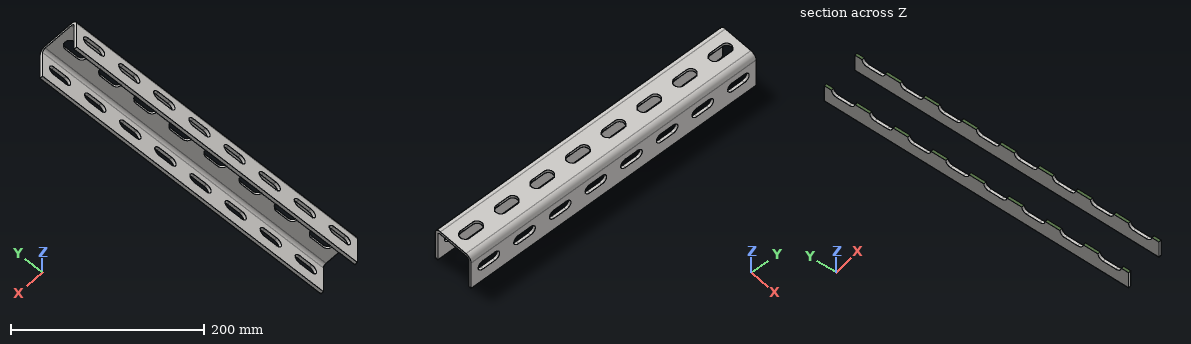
import cadquery as cq

length = 400.0
width = 55.0
height = 50.0
thickness = 4.0
outer_bend_radius = 8.0
inner_bend_radius = outer_bend_radius - thickness

slot_count = 8
slot_pitch = length / slot_count
slot_length = 30.0
slot_width = 13.0
flange_slot_height = height / 2


def bent_block(block_width, block_height, bend_radius):
    """Full-length block standing on Z = 0 with its two top edges rounded."""
    block = cq.Workplane("XY").box(block_width, length, block_height, centered=(True, True, False))
    return block.edges("|Y and >Z").fillet(bend_radius)


def channel():
    outside = bent_block(width, height, outer_bend_radius)
    inside = bent_block(width - 2 * thickness, height - thickness, inner_bend_radius)
    return outside.cut(inside)


def web_slots():
    return (
        cq.Workplane("XY", origin=(0, 0, height / 2))
        .rarray(4, slot_pitch, 1, slot_count)
        .slot2D(slot_length, slot_width, 90)
        .extrude(height)
    )


def flange_slots():
    return (
        cq.Workplane("YZ", origin=(0, 0, flange_slot_height))
        .rarray(slot_pitch, 4, slot_count, 1)
        .slot2D(slot_length, slot_width)
        .extrude(width, both=True)
    )


result = channel().cut(web_slots()).cut(flange_slots())